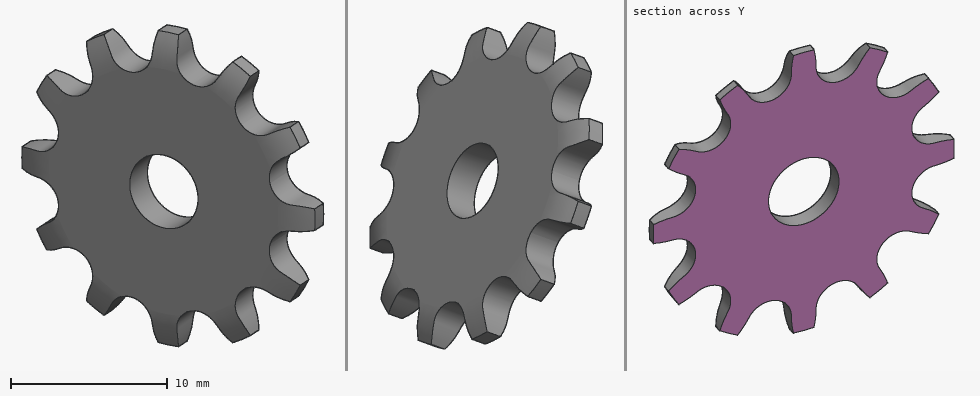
import cadquery as cq
import math


tooth_count = 12
chain_pitch = 5.0
roller_diameter = 3.2
tip_diameter = 21.5
thickness = 2.3
bore_diameter = 5.0
tip_width = 1.49
flat_face_radius = 8.4
side_curve_radius = 5.0
blank_margin = 0.5

tooth_angle = 2 * math.pi / tooth_count
pitch_radius = chain_pitch / (2 * math.sin(tooth_angle / 2))
seat_radius = roller_diameter / 2
root_radius = pitch_radius - seat_radius
tip_radius = tip_diameter / 2
half_thickness = thickness / 2
blank_radius = tip_radius + blank_margin


def turned(point, angle):
    """Point turned counterclockwise about the sprocket axis."""
    x, z = point
    return (
        x * math.cos(angle) - z * math.sin(angle),
        x * math.sin(angle) + z * math.cos(angle),
    )


def mirrored(point):
    """Point on the other side of the +Z tooth's centre line."""
    return (-point[0], point[1])


def toothed_plate():
    """Plate with roller seats between teeth whose flanks are convex arcs."""
    seat_centre = turned((0, pitch_radius), -tooth_angle / 2)
    root = turned((0, root_radius), -tooth_angle / 2)
    seat_end = (seat_centre[0] - seat_radius, seat_centre[1])
    seat_half_span = math.pi / 2 - tooth_angle / 2
    seat_middle_angle = math.pi + seat_half_span / 2
    seat_middle = (
        seat_centre[0] + seat_radius * math.cos(seat_middle_angle),
        seat_centre[1] + seat_radius * math.sin(seat_middle_angle),
    )
    half_tip = tip_width / 2
    tip_corner = (half_tip, math.sqrt(tip_radius**2 - half_tip**2))

    flank_run = tip_corner[1] - seat_end[1]
    flank_inset = seat_end[0] - tip_corner[0]
    flank_radius = (flank_run**2 + flank_inset**2) / (2 * flank_inset)
    flank_half_span = math.asin(flank_run / flank_radius) / 2
    flank_middle = (
        seat_end[0] - flank_radius * (1 - math.cos(flank_half_span)),
        seat_end[1] + flank_radius * math.sin(flank_half_span),
    )
    tip_middle = (0, tip_radius)

    tooth_arcs = [
        (seat_middle, seat_end),
        (flank_middle, tip_corner),
        (tip_middle, mirrored(tip_corner)),
        (mirrored(flank_middle), mirrored(seat_end)),
        (mirrored(seat_middle), mirrored(root)),
    ]
    outline = cq.Workplane("XZ", origin=(0, half_thickness, 0)).moveTo(*root)
    for tooth in range(tooth_count):
        angle = tooth * tooth_angle
        for middle, end in tooth_arcs:
            outline = outline.threePointArc(turned(middle, angle), turned(end, angle))
    return outline.close().extrude(thickness, clean=False)


def side_curve_point(radius):
    """Half thickness left by the side curve at a radius, paired with that radius."""
    run = radius - flat_face_radius
    drop = side_curve_radius - math.sqrt(side_curve_radius**2 - run**2)
    return (half_thickness - drop, radius)


def turned_blank():
    """Bored disc whose rim thins along arcs tangent to the flat side faces."""
    bore_radius = bore_diameter / 2
    curve_middle = side_curve_point((flat_face_radius + blank_radius) / 2)
    curve_end = side_curve_point(blank_radius)
    return (
        cq.Workplane("YZ")
        .moveTo(half_thickness, bore_radius)
        .lineTo(half_thickness, flat_face_radius)
        .threePointArc(curve_middle, curve_end)
        .lineTo(*mirrored(curve_end))
        .threePointArc(mirrored(curve_middle), (-half_thickness, flat_face_radius))
        .lineTo(-half_thickness, bore_radius)
        .close()
        .revolve(360, (0, 0, 0), (1, 0, 0))
    )


result = toothed_plate().intersect(turned_blank(), clean=False)